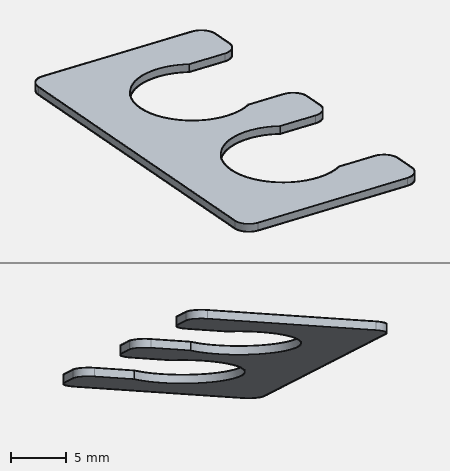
import cadquery as cq

length = 34.92
depth = 19.05
thickness = 0.8
corner_radius = 1.5

notch_pitch = 14.75
seat_radius = 5.6
seat_setback = 10.9
seat_center_y = seat_setback - depth / 2
mouth_width = 9.6


def keyhole_notch(center_x):
    """Round seat joined to a straight mouth that reaches the +Y edge."""
    mouth_length = depth / 2 - seat_center_y
    seat = cq.Workplane("XY").center(center_x, seat_center_y).circle(seat_radius).extrude(thickness)
    mouth = (
        cq.Workplane("XY")
        .center(center_x, seat_center_y + mouth_length / 2)
        .rect(mouth_width, mouth_length)
        .extrude(thickness)
    )
    return seat.union(mouth)


plate = cq.Workplane("XY").rect(length, depth).extrude(thickness)
for side in (-1, 1):
    plate = plate.cut(keyhole_notch(side * notch_pitch / 2))

front_corners = plate.faces("<Y").edges("|Z")
finger_tip_corners = plate.faces(">Y").edges("|Z")
result = plate.newObject(front_corners.vals() + finger_tip_corners.vals()).fillet(corner_radius)